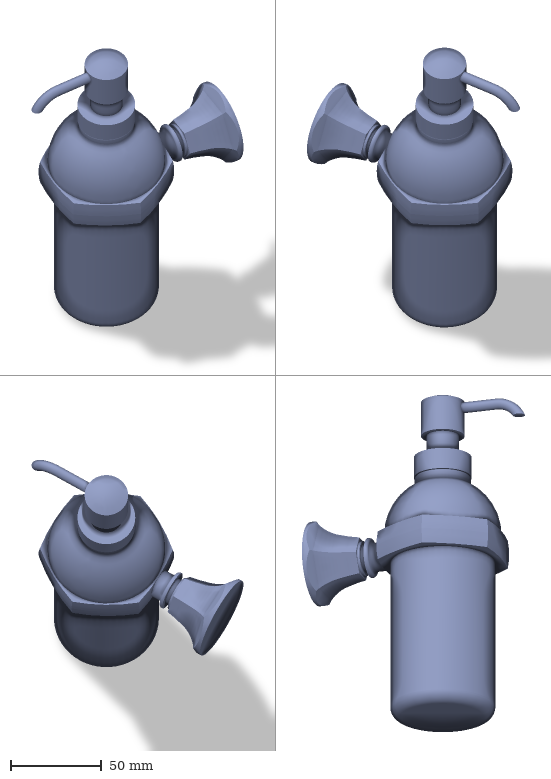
import cadquery as cq
import math


total_height = 187.6
bottle_diameter = 58.0
bottle_bottom_fillet = 6.0
dome_radius = 32.5
shoulder_height = 0.47
neck_radius = 15.5
neck_fillet = 2.0
lip_rounding = 1.1
collar_radius = 16.0
collar_bottom = 140.5
collar_top = 152.4
stem_radius = 9.0
cap_radius = 12.0
cap_bottom = 165.0
cap_edge_height = 184.6

spout_radius = 3.0
spout_height = 180.3
spout_straight_end = 31.1
spout_bend_radius = 14.8
spout_outlet_height = 172.3

ring_bottom = 90.0
ring_top = 106.4
ring_corner_width = 74.9
ring_side_bulge = 1.7
ring_edge_inset = 0.8

arm_radius = 8.0
arm_start = 31.0
flange_radius = 11.0
flange_front = 40.2
flange_back = 42.5
waist_radius = 7.7
step_radius = 9.8
step_front = 45.2
rosette_front = 46.5
rosette_back = 74.1
rosette_rim_radius = 23.5
front_half_width = 10.5
taper_end = 52.0
taper_half_width = 11.5
flare_start = 57.6
flare_start_half_width = 12.8
flare_end = 68.3
flare_end_half_width = 18.5
rim_meeting = 72.2

bottle_radius = bottle_diameter / 2
ring_corner_radius = ring_corner_width / 2
side_count = 6
side_angle = 360 / side_count
half_side_angle = math.radians(side_angle / 2)
ring_mid = (ring_bottom + ring_top) / 2
flange_curve = (flange_radius - arm_radius) / 2
dome_center = ring_top + shoulder_height


def make_dispenser_body():
    """Bottle, dome, neck, collar, stem and cap as one turned shape."""
    neck_foot = dome_center + math.sqrt(dome_radius**2 - neck_radius**2)
    dome_mid_angle = math.acos(neck_radius / dome_radius) / 2
    dome_mid = (
        dome_radius * math.cos(dome_mid_angle),
        dome_center + dome_radius * math.sin(dome_mid_angle),
    )
    cap_rise = total_height - cap_edge_height
    cap_sphere = (cap_radius**2 + cap_rise**2) / (2 * cap_rise)
    cap_mid_radius = cap_radius / 2
    cap_mid_height = total_height - cap_sphere + math.sqrt(cap_sphere**2 - cap_mid_radius**2)
    profile = (
        cq.Workplane("XZ")
        .moveTo(0, 0)
        .lineTo(bottle_radius, 0)
        .lineTo(bottle_radius, ring_top)
        .lineTo(dome_radius, ring_top)
        .lineTo(dome_radius, dome_center)
        .threePointArc(dome_mid, (neck_radius, neck_foot))
        .lineTo(neck_radius, collar_bottom - lip_rounding)
        .radiusArc((neck_radius - lip_rounding, collar_bottom), -lip_rounding)
        .lineTo(collar_radius, collar_bottom)
        .lineTo(collar_radius, collar_top)
        .lineTo(stem_radius, collar_top)
        .lineTo(stem_radius, cap_bottom)
        .lineTo(cap_radius, cap_bottom)
        .lineTo(cap_radius, cap_edge_height)
        .threePointArc((cap_mid_radius, cap_mid_height), (0, total_height))
        .close()
    )
    body = profile.revolve(360, (0, 0, 0), (0, 1, 0))
    body = body.faces("<Z").edges().fillet(bottle_bottom_fillet)
    neck_edge = cq.selectors.NearestToPointSelector((0, 0, neck_foot))
    return body.edges("%CIRCLE").edges(neck_edge).fillet(neck_fillet)


def make_spout():
    """Round tube running toward -Y, bent down and cut level at its outlet."""
    bend_center = spout_height - spout_bend_radius
    path = (
        cq.Workplane("YZ")
        .moveTo(0, spout_height)
        .lineTo(-spout_straight_end, spout_height)
        .radiusArc((-spout_straight_end - spout_bend_radius, bend_center), -spout_bend_radius)
    )
    tube = cq.Workplane("XZ").center(0, spout_height).circle(spout_radius).sweep(path)
    reach = spout_straight_end + spout_bend_radius + spout_radius
    keep = cq.Workplane("XY", origin=(0, 0, spout_outlet_height)).rect(2 * reach, 2 * reach)
    return tube.intersect(keep.extrude(total_height - spout_outlet_height))


def make_dispenser():
    """Bottle and pump with the spout; its dome rests on top of the ring."""
    return make_dispenser_body().union(make_spout())


def make_ring():
    """Six-sided block whose sides bulge in plan and are barrelled above and below mid height."""
    half_side = ring_corner_radius * math.sin(half_side_angle)
    half_width = ring_corner_radius * math.cos(half_side_angle) + ring_side_bulge
    side_radius = (half_side**2 + ring_side_bulge**2) / (2 * ring_side_bulge)
    edge_radius = side_radius - ring_edge_inset
    quarter_radius = side_radius - ring_edge_inset / 4
    barrel = (
        cq.Workplane("XZ")
        .moveTo(0, ring_bottom)
        .lineTo(edge_radius, ring_bottom)
        .threePointArc((quarter_radius, (ring_bottom + ring_mid) / 2), (side_radius, ring_mid))
        .threePointArc((quarter_radius, (ring_mid + ring_top) / 2), (edge_radius, ring_top))
        .lineTo(0, ring_top)
        .close()
        .revolve(360, (0, 0, 0), (0, 1, 0))
        .translate((0, half_width - side_radius, 0))
    )
    ring = barrel
    for side in range(1, side_count):
        ring = ring.intersect(barrel.rotate((0, 0, 0), (0, 0, 1), side * side_angle))
    return ring


def make_arm():
    """Turned arm with a flange, a waist and a step, on the Y axis at ring height."""
    profile = (
        cq.Workplane("YZ", origin=(0, 0, ring_mid))
        .moveTo(arm_start, 0)
        .lineTo(arm_start, arm_radius)
        .lineTo(flange_front - flange_curve, arm_radius)
        .radiusArc((flange_front, arm_radius + flange_curve), -flange_curve)
        .radiusArc((flange_front + flange_curve, flange_radius), flange_curve)
        .lineTo(flange_back, flange_radius)
        .lineTo(flange_back, waist_radius)
        .lineTo(step_front, waist_radius)
        .lineTo(step_front, step_radius)
        .lineTo(rosette_front, step_radius)
        .lineTo(rosette_front, 0)
        .close()
    )
    return profile.revolve(360, (0, 0, 0), (1, 0, 0))


def make_rosette():
    """Flared six-sided wall rosette trimmed by a round rim."""
    blank_length = rosette_back - rosette_front
    rim = (
        cq.Workplane("XZ", origin=(0, rosette_back, ring_mid))
        .circle(rosette_rim_radius)
        .extrude(blank_length)
    )
    slab = (
        cq.Workplane("YZ")
        .moveTo(rosette_front, 0)
        .lineTo(rosette_front, front_half_width)
        .lineTo(taper_end, taper_half_width)
        .lineTo(flare_start, flare_start_half_width)
        .tangentArcPoint((flare_end, flare_end_half_width), relative=False)
        .lineTo(rim_meeting, rosette_rim_radius)
        .lineTo(rosette_back, rosette_rim_radius)
        .lineTo(rosette_back, 0)
        .close()
        .extrude(rosette_rim_radius, both=True)
    )
    slab = slab.union(slab.mirror("XY")).translate((0, 0, ring_mid))
    rosette = rim
    for pair in range(side_count // 2):
        rosette = rosette.intersect(slab.rotate((0, 0, ring_mid), (0, 1, ring_mid), pair * side_angle))
    return rosette


def make_holder():
    """Ring bored to fit the bottle, carried by the arm and the rosette."""
    bore = cq.Workplane("XY").circle(bottle_radius).extrude(ring_top)
    return make_ring().cut(bore).union(make_arm()).union(make_rosette())


dispenser = make_dispenser()
holder = make_holder()
result = cq.Compound.makeCompound([dispenser.val(), holder.val()])